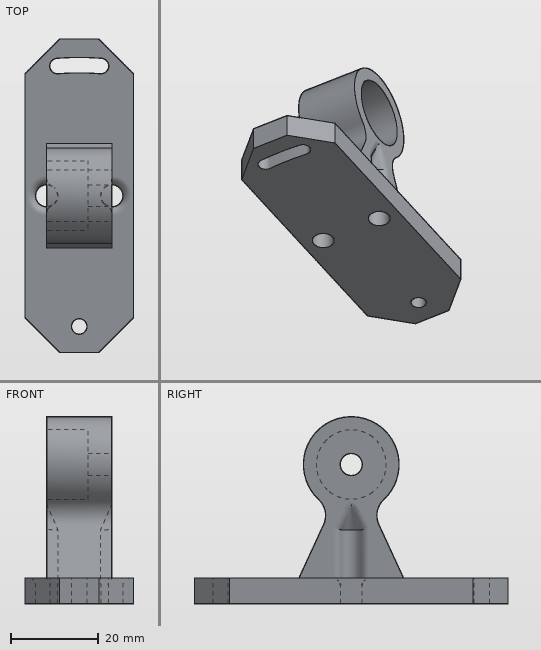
import cadquery as cq
import math

PLATE_WIDTH = 25.0
PLATE_LENGTH = 72.0
PLATE_THICKNESS = 6.0
CORNER_CHAMFER = 8.0

PIVOT_HOLE_DIAMETER = 3.5
PIVOT_END_DISTANCE = 6.0
PIVOT_Y = PIVOT_END_DISTANCE - PLATE_LENGTH / 2
SLOT_WIDTH = PIVOT_HOLE_DIAMETER
SLOT_ARC_RADIUS = 2 * abs(PIVOT_Y)
SLOT_END_SPACING = 10.0
SLOT_HALF_ANGLE = math.degrees(math.asin(SLOT_END_SPACING / 2 / SLOT_ARC_RADIUS))

TOTAL_HEIGHT = 43.0
BRACKET_WIDTH = 15.0
RING_RADIUS = 11.0
RING_CENTER_Z = TOTAL_HEIGHT - RING_RADIUS
FOOT_LENGTH = 24.0
NECK_FILLET = 5.0

BORE_DIAMETER = 16.0
BORE_DEPTH = 9.5
END_WALL_HOLE_DIAMETER = 5.0

CHANNEL_RADIUS = 2.5
CHANNEL_SHOULDER_Z = 17.0
CHANNEL_TIP_Z = 22.7
CHANNEL_FILLET = 2.0
CHANNEL_INSET = 0.1
SCREW_X = BRACKET_WIDTH / 2
CHANNEL_X = SCREW_X - CHANNEL_INSET


def slot_point(radius, angle):
    """Point at a radius from the pivot, with the angle in degrees from +Y toward +X."""
    turn = math.radians(angle)
    return (radius * math.sin(turn), PIVOT_Y + radius * math.cos(turn))


def make_slot():
    """Curved slot with round ends, concentric with the pivot hole."""
    outer = SLOT_ARC_RADIUS + SLOT_WIDTH / 2
    inner = SLOT_ARC_RADIUS - SLOT_WIDTH / 2
    end_overhang = math.degrees(SLOT_WIDTH / 2 / SLOT_ARC_RADIUS)
    end_angle = SLOT_HALF_ANGLE + end_overhang
    return (
        cq.Workplane("XY")
        .moveTo(*slot_point(outer, -SLOT_HALF_ANGLE))
        .threePointArc(slot_point(outer, 0), slot_point(outer, SLOT_HALF_ANGLE))
        .threePointArc(slot_point(SLOT_ARC_RADIUS, end_angle), slot_point(inner, SLOT_HALF_ANGLE))
        .threePointArc(slot_point(inner, 0), slot_point(inner, -SLOT_HALF_ANGLE))
        .threePointArc(slot_point(SLOT_ARC_RADIUS, -end_angle), slot_point(outer, -SLOT_HALF_ANGLE))
        .close()
        .extrude(PLATE_THICKNESS)
    )


def make_plate():
    """Chamfered plate with the pivot hole, slot and rounded screw holes."""
    plate = (
        cq.Workplane("XY")
        .box(PLATE_WIDTH, PLATE_LENGTH, PLATE_THICKNESS, centered=(True, True, False))
        .edges("|Z")
        .chamfer(CORNER_CHAMFER)
    )
    screw_holes = (
        cq.Workplane("XY")
        .pushPoints([(-SCREW_X, 0), (SCREW_X, 0)])
        .circle(CHANNEL_RADIUS)
        .extrude(PLATE_THICKNESS)
    )
    plate = plate.cut(screw_holes).faces(">Z").edges("%CIRCLE").fillet(CHANNEL_FILLET)
    pivot_hole = (
        cq.Workplane("XY")
        .center(0, PIVOT_Y)
        .circle(PIVOT_HOLE_DIAMETER / 2)
        .extrude(PLATE_THICKNESS)
    )
    return plate.cut(pivot_hole).cut(make_slot())


def make_bracket_blank():
    """Ring and foot silhouette with tangent neck fillets, its foot reaching down through the plate."""
    foot_height = RING_CENTER_Z - PLATE_THICKNESS
    side_angle = math.atan2(FOOT_LENGTH / 2, foot_height)
    fillet_distance = RING_RADIUS + NECK_FILLET
    fillet_angle = side_angle + math.asin(NECK_FILLET / fillet_distance)
    fillet_y = fillet_distance * math.sin(fillet_angle)
    fillet_z = RING_CENTER_Z - fillet_distance * math.cos(fillet_angle)

    side_reach = math.sqrt(fillet_distance**2 - NECK_FILLET**2)
    side_y = side_reach * math.sin(side_angle)
    side_z = RING_CENTER_Z - side_reach * math.cos(side_angle)
    ring_y = RING_RADIUS * math.sin(fillet_angle)
    ring_z = RING_CENTER_Z - RING_RADIUS * math.cos(fillet_angle)
    waist_y = fillet_y - NECK_FILLET

    return (
        cq.Workplane("YZ")
        .moveTo(-FOOT_LENGTH / 2, PLATE_THICKNESS)
        .lineTo(-FOOT_LENGTH / 2, 0)
        .lineTo(FOOT_LENGTH / 2, 0)
        .lineTo(FOOT_LENGTH / 2, PLATE_THICKNESS)
        .lineTo(side_y, side_z)
        .threePointArc((waist_y, fillet_z), (ring_y, ring_z))
        .threePointArc((0, TOTAL_HEIGHT), (-ring_y, ring_z))
        .threePointArc((-waist_y, fillet_z), (-side_y, side_z))
        .close()
        .extrude(BRACKET_WIDTH / 2, both=True)
    )


def make_channel():
    """Cutter for the -X channel: a pointed round channel with its rim flared by a fillet.

    It is the material lost by a plain block when the channel is cut and its rim rounded.
    """
    block = cq.Workplane("XY").box(
        BRACKET_WIDTH, FOOT_LENGTH, RING_CENTER_Z, centered=(True, True, False)
    )
    bare_channel = (
        cq.Workplane("XZ")
        .lineTo(CHANNEL_RADIUS, 0)
        .lineTo(CHANNEL_RADIUS, CHANNEL_SHOULDER_Z)
        .lineTo(0, CHANNEL_TIP_Z)
        .close()
        .revolve(360, (0, 0, 0), (0, 1, 0))
        .translate((-CHANNEL_X, 0, 0))
    )
    face_x = -BRACKET_WIDTH / 2
    margin = 0.1
    rim_box = cq.selectors.BoxSelector(
        (face_x - margin, -CHANNEL_RADIUS - margin, margin),
        (face_x + margin, CHANNEL_RADIUS + margin, CHANNEL_TIP_Z + margin),
    )
    grooved_block = block.cut(bare_channel).edges(rim_box).fillet(CHANNEL_FILLET)
    return block.cut(grooved_block)


def make_bracket():
    """Bracket with its screw channels and stepped bore."""
    channel = make_channel()
    bracket = make_bracket_blank().cut(channel).cut(channel.mirror("YZ"))
    bore_axis = cq.Workplane("YZ", origin=(-BRACKET_WIDTH / 2, 0, RING_CENTER_Z))
    bore = bore_axis.circle(BORE_DIAMETER / 2).extrude(BORE_DEPTH)
    end_wall_hole = bore_axis.circle(END_WALL_HOLE_DIAMETER / 2).extrude(BRACKET_WIDTH)
    return bracket.cut(bore).cut(end_wall_hole)


result = make_plate().union(make_bracket())